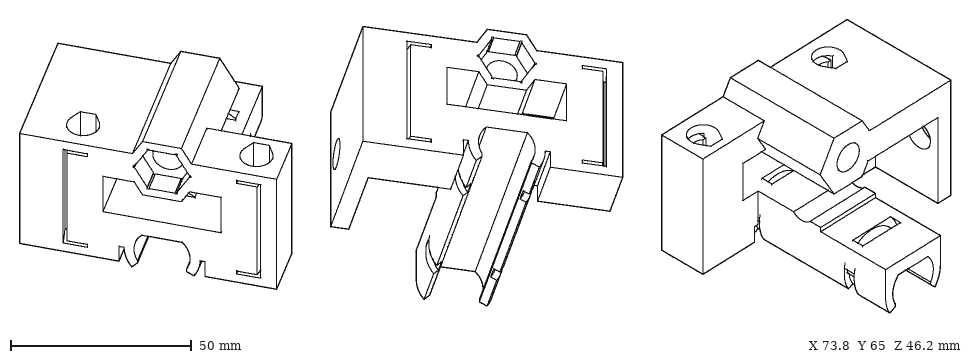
import cadquery as cq
import math

LENGTH = 73.8
BLOCK_DEPTH = 40.0
BLOCK_HEIGHT = 40.0
ARM_DEPTH = 15.95
SIDE_WALL = 5.2

AXIS_X = 40.9
CLIP_Z = 5.4
CLIP_RADIUS = 10.9
BORE_RADIUS = 8.05
BORE_ROOF_Z = 10.9
MOUTH_HALF_WIDTH = 7.0
LIP_Z = 0.6
LEFT_TIP = (-8.7, -1.25)
RIGHT_TIP = (9.15, -0.45)
RELIEF_HALF_WIDTH = 12.3

TOTAL_DEPTH = 65.0
TAIL_TOP_Z = 15.5

WINDOW_WIDTH = 33.95
WINDOW_BOTTOM = 17.0
WINDOW_TOP = 29.8

HEX_Z = 35.35
BOSS_FLATS = 19.3
NUT_FLATS = 13.95
NUT_DEPTH = 6.5
CORNER_RELIEF_RADIUS = 0.3
SCREW_DIAMETER = 8.85

CROSS_DIAMETER = 8.6
CROSS_Y = 32.8
CROSS_Z = 19.9

STRAP_WIDTH = 3.85
STRAP_CENTERS_Y = (14.55, 51.0)
STRAP_LOWER_RADIUS = 9.0
STRAP_ARCH_RADIUS = 9.75
STRAP_HALF_WIDTH = 11.1
STRAP_HALF_HEIGHT = 13.7

SOCKET_OFFSET = 24.9
SOCKET_Y = 8.2
SOCKET_RADIUS = 4.6
SOCKET_FLAT = 5.25
SOCKET_FLOOR = 3.0
FLANK_ANGLE = math.radians(30)
SLIT = 1.0
SLIT_HALF_WIDTH = 3.5
SLIT_SLOPE = 0.19
FINGER_HALF_WIDTH = 3.3
FINGER_END_Y = 6.05
ROD_RADIUS = 3.0


def box(x0, x1, y0, y1, z0, z1):
    return cq.Workplane("XY").box(x1 - x0, y1 - y0, z1 - z0, centered=False).translate((x0, y0, z0))


def along_y(y0, x=0.0, z=0.0):
    """Sketch plane facing the front; extruding by -d runs d towards +Y."""
    return cq.Workplane("XZ", origin=(x, y0, z))


def cylinder_y(radius, y0, y1, z):
    return along_y(y0, AXIS_X, z).circle(radius).extrude(y0 - y1)


def hexagon(flats, y0, y1):
    return along_y(y0, AXIS_X, HEX_Z).polygon(6, flats / math.cos(math.pi / 6)).extrude(y0 - y1)


def make_body():
    half_window = WINDOW_WIDTH / 2
    front = box(0, LENGTH, 0, ARM_DEPTH, 0, BLOCK_HEIGHT).cut(
        box(AXIS_X - half_window, AXIS_X + half_window, 0, ARM_DEPTH, WINDOW_BOTTOM, WINDOW_TOP)
    )
    side = box(0, SIDE_WALL, 0, BLOCK_DEPTH, 0, BLOCK_HEIGHT)
    roof = box(0, AXIS_X, 0, BLOCK_DEPTH, WINDOW_TOP, BLOCK_HEIGHT)
    left_x = AXIS_X - CLIP_RADIUS
    right_x = AXIS_X + CLIP_RADIUS
    column = box(left_x, right_x, 0, BLOCK_DEPTH, 0, WINDOW_BOTTOM)
    tail = box(left_x, right_x, 0, TOTAL_DEPTH, CLIP_Z, TAIL_TOP_Z)
    boss = hexagon(BOSS_FLATS, 0, BLOCK_DEPTH)
    return front.union(side).union(roof).union(column).union(tail).union(boss)


def add_clip(body):
    body = body.cut(
        box(AXIS_X - RELIEF_HALF_WIDTH, AXIS_X + RELIEF_HALF_WIDTH, 0, BLOCK_DEPTH, 0, CLIP_Z)
    )
    legs = cylinder_y(CLIP_RADIUS, 0, TOTAL_DEPTH, CLIP_Z)
    body = body.union(legs.cut(box(0, LENGTH, 0, TOTAL_DEPTH, TAIL_TOP_Z, BLOCK_HEIGHT)))
    bore = cylinder_y(BORE_RADIUS, 0, TOTAL_DEPTH, CLIP_Z)
    bore = bore.cut(box(0, LENGTH, 0, TOTAL_DEPTH, BORE_ROOF_Z, BLOCK_HEIGHT))
    below = CLIP_Z - CLIP_RADIUS
    left_slope = (LIP_Z - LEFT_TIP[1]) / (-MOUTH_HALF_WIDTH - LEFT_TIP[0])
    right_slope = (LIP_Z - RIGHT_TIP[1]) / (MOUTH_HALF_WIDTH - RIGHT_TIP[0])
    left_end = -MOUTH_HALF_WIDTH - (LIP_Z - below) / left_slope
    right_end = MOUTH_HALF_WIDTH - (LIP_Z - below) / right_slope
    mouth = (
        along_y(0, AXIS_X)
        .moveTo(-MOUTH_HALF_WIDTH, CLIP_Z)
        .lineTo(-MOUTH_HALF_WIDTH, LIP_Z)
        .lineTo(left_end, below)
        .lineTo(right_end, below)
        .lineTo(MOUTH_HALF_WIDTH, LIP_Z)
        .lineTo(MOUTH_HALF_WIDTH, CLIP_Z)
        .close()
        .extrude(-TOTAL_DEPTH)
    )
    return body.cut(bore).cut(mouth)


def strap_channel(center_y):
    y0 = center_y - STRAP_WIDTH / 2
    y1 = center_y + STRAP_WIDTH / 2
    outer = (
        along_y(y0, AXIS_X, CLIP_Z)
        .ellipse(STRAP_HALF_WIDTH, STRAP_HALF_HEIGHT)
        .extrude(-STRAP_WIDTH)
    )
    above = box(0, LENGTH, y0, y1, CLIP_Z, BLOCK_HEIGHT)
    arch = cylinder_y(STRAP_ARCH_RADIUS, y0, y1, CLIP_Z).intersect(above)
    return outer.cut(cylinder_y(STRAP_LOWER_RADIUS, y0, y1, CLIP_Z)).cut(arch)


def nut_and_screw():
    cutter = hexagon(NUT_FLATS, 0, NUT_DEPTH)
    corners = (
        along_y(0, AXIS_X, HEX_Z)
        .polarArray(NUT_FLATS / math.sqrt(3), 0, 360, 6)
        .circle(CORNER_RELIEF_RADIUS)
        .extrude(-NUT_DEPTH)
    )
    return cutter.union(corners).union(cylinder_y(SCREW_DIAMETER / 2, 0, BLOCK_DEPTH, HEX_Z))


def socket(x, outward):
    """Teardrop socket; outward is -1 or 1, the side that carries the side slit."""
    slit_top = BLOCK_HEIGHT - SOCKET_FLOOR
    tangent_x = SOCKET_RADIUS * math.cos(FLANK_ANGLE)
    tangent_y = SOCKET_RADIUS * math.sin(FLANK_ANGLE)
    flat_x = tangent_x - (SOCKET_FLAT - tangent_y) * math.tan(FLANK_ANGLE)
    hole = (
        cq.Workplane("XY", origin=(x, SOCKET_Y, SOCKET_FLOOR))
        .moveTo(-flat_x, SOCKET_FLAT)
        .lineTo(-tangent_x, tangent_y)
        .threePointArc((0, -SOCKET_RADIUS), (tangent_x, tangent_y))
        .lineTo(flat_x, SOCKET_FLAT)
        .close()
        .extrude(BLOCK_HEIGHT - SOCKET_FLOOR)
    )
    finger = box(
        x - FINGER_HALF_WIDTH, x + FINGER_HALF_WIDTH, 0, FINGER_END_Y,
        SOCKET_FLOOR + SLIT, slit_top - SLIT,
    )
    rod = (
        cq.Workplane("XY", origin=(x, SOCKET_Y, 0))
        .circle(ROD_RADIUS)
        .extrude(BLOCK_HEIGHT)
    )
    cutter = hole.cut(finger.cut(rod))
    for z in (SOCKET_FLOOR, slit_top - SLIT):
        cutter = cutter.union(
            box(x - SLIT_HALF_WIDTH, x + SLIT_HALF_WIDTH, 0, SOCKET_Y, z, z + SLIT)
        )
    run = SLIT_SLOPE * FINGER_END_Y
    side_slit = (
        cq.Workplane("XY", origin=(x, 0, SOCKET_FLOOR))
        .moveTo(outward * SLIT_HALF_WIDTH, 0)
        .lineTo(outward * (SLIT_HALF_WIDTH + run), FINGER_END_Y)
        .lineTo(outward * (SLIT_HALF_WIDTH - SLIT + run), FINGER_END_Y)
        .lineTo(outward * (SLIT_HALF_WIDTH - SLIT), 0)
        .close()
        .extrude(slit_top - SOCKET_FLOOR)
    )
    return cutter.union(side_slit)


def cross_hole():
    profile = cq.Workplane("YZ", origin=(0, CROSS_Y, CROSS_Z)).circle(CROSS_DIAMETER / 2)
    return profile.extrude(LENGTH)


result = add_clip(make_body())
for strap_y in STRAP_CENTERS_Y:
    result = result.cut(strap_channel(strap_y))
result = result.cut(nut_and_screw()).cut(cross_hole())
for side in (-1, 1):
    result = result.cut(socket(AXIS_X + side * SOCKET_OFFSET, side))